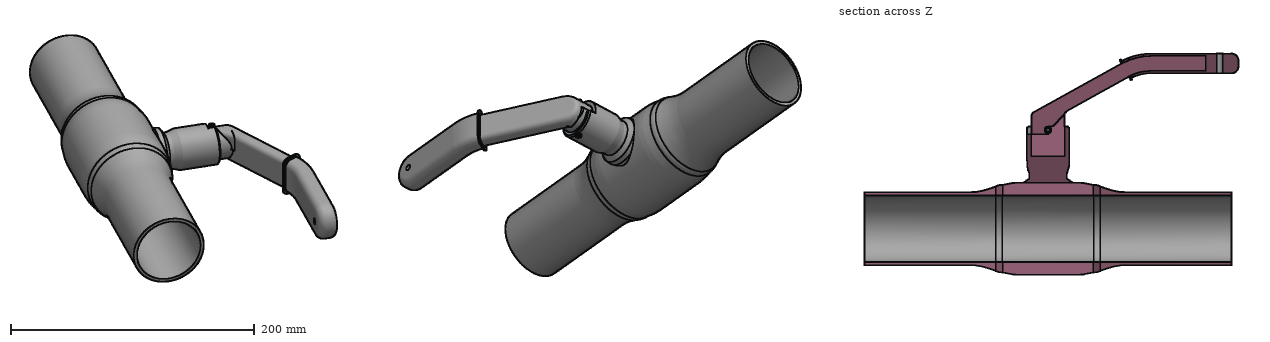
import cadquery as cq
import math


half_length = 151.0
pipe_radius = 30.15
bore_radius = 27.25
taper_start_x = 64.3
taper_end_x = 47.8
taper_end_radius = 33.2
bead_outer_x = 43.1
bead_outer_radius = 34.8
bead_inner_x = 37.6
bead_inner_radius = 36.1
bead_crown = 0.5
shoulder_x = 30.2
shoulder_radius = 37.55
barrel_half_length = 24.6
barrel_radius = 38.05

weld_toe_y = 30.0
weld_toe_radius = 22.6
weld_foot_y = 33.4
weld_foot_radius = 20.7
weld_edge_y = 38.1
weld_edge_radius = 20.0
weld_top_y = 41.4
neck_radius = 15.5
head_taper_y = 45.1
head_y = 51.7
head_radius = 17.5
head_top_y = 84.3
head_chamfer = 1.3
notch_floor_y = 77.8
notch_margin = 2.6
socket_floor_y = 60.0

hub_radius = 13.7
stem_top_y = 90.0
pin_y = 81.4
pin_radius = 2.5
pin_bore_radius = 1.3
pin_half_length = 18.4

lever_angle = 29.0
bar_thickness = 12.7
bar_width = 2 * hub_radius
bar_rounding = 4.3
bend_radius = 44.0
bend_end_x = 84.8
level_y = 136.05
bar_end_x = 130.0

gusset_foot_x = 3.8
gusset_foot_y = 84.5
gusset_end_x = 15.5
gusset_angle = 46.0
gusset_rounding = 3.5

grip_thickness = 16.5
grip_width = 31.0
grip_rounding = 6.0
grip_end_x = 153.89 * 2 - half_length
lip_length = 1.2
lip_margin = 1.3
lip_rounding = 5.2
mouth_gap = 1.2
mouth_depth = 1.5
hang_hole_radius = 2.4

bend_center_y = level_y - bend_radius
grip_end_center_x = grip_end_x - grip_width / 2
slant = math.radians(lever_angle)
along = cq.Vector(math.cos(slant), math.sin(slant), 0)
across = cq.Vector(-math.sin(slant), math.cos(slant), 0)
bend_start = cq.Vector(bend_end_x, bend_center_y, 0) + across * bend_radius


def y_cylinder(radius, low_y, high_y):
    """Cylinder on the stem axis between two heights."""
    return cq.Workplane("XZ", origin=(0, low_y, 0)).circle(radius).extrude(low_y - high_y)


def z_cylinder(radius, half_height):
    """Cylinder on the pin axis, centred on Z = 0."""
    return cq.Workplane("XY", origin=(0, pin_y, 0)).circle(radius).extrude(half_height, both=True)


def box_between(low, high):
    """Box given by two opposite corners."""
    size = [b - a for a, b in zip(low, high)]
    return cq.Workplane("XY").box(*size, centered=False).translate(low)


def rounded_section(plane, thickness, width, rounding):
    """Rounded rectangle; the plane's x axis runs through the thickness."""
    outline = cq.Sketch().rect(thickness, width).vertices().fillet(rounding)
    return cq.Workplane(plane).placeSketch(outline)


def level_section(x, thickness, width, rounding):
    """Section of the level part of the lever at a given X."""
    plane = cq.Plane(origin=(x, level_y, 0), xDir=(0, 1, 0), normal=(1, 0, 0))
    return rounded_section(plane, thickness, width, rounding)


def bend_and_level(thickness, width, rounding, end_x):
    """The bend and the level run after it, up to end_x."""
    bend = level_section(bend_end_x, thickness, width, rounding).revolve(
        lever_angle, (-bend_radius, 0, 0), (-bend_radius, 1, 0)
    )
    level = level_section(bend_end_x, thickness, width, rounding).extrude(end_x - bend_end_x)
    return bend.union(level)


def make_housing():
    """Centre barrel between the two weld beads."""
    outline = (
        cq.Workplane("XY")
        .moveTo(-bead_inner_x, bore_radius)
        .lineTo(-bead_inner_x, bead_inner_radius)
        .lineTo(-shoulder_x, shoulder_radius)
    )
    middle_x = (shoulder_x + barrel_half_length) / 2
    middle_radius = barrel_radius - (barrel_radius - shoulder_radius) / 4
    outline = (
        outline.threePointArc((-middle_x, middle_radius), (-barrel_half_length, barrel_radius))
        .lineTo(barrel_half_length, barrel_radius)
        .threePointArc((middle_x, middle_radius), (shoulder_x, shoulder_radius))
        .lineTo(bead_inner_x, bead_inner_radius)
        .lineTo(bead_inner_x, bore_radius)
        .close()
    )
    return outline.revolve(360, (0, 0, 0), (1, 0, 0))


def make_bead(side):
    """Weld bead with a slightly crowned surface."""
    crown = (
        side * (bead_inner_x + bead_outer_x) / 2,
        (bead_inner_radius + bead_outer_radius) / 2 + bead_crown,
    )
    return (
        cq.Workplane("XY")
        .moveTo(side * bead_inner_x, bore_radius)
        .lineTo(side * bead_inner_x, bead_inner_radius)
        .threePointArc(crown, (side * bead_outer_x, bead_outer_radius))
        .lineTo(side * bead_outer_x, bore_radius)
        .close()
        .revolve(360, (0, 0, 0), (1, 0, 0))
    )


def make_pipe(side):
    """Pipe whose inner end widens to meet the bead."""
    return (
        cq.Workplane("XY")
        .moveTo(side * half_length, bore_radius)
        .lineTo(side * half_length, pipe_radius)
        .lineTo(side * taper_start_x, pipe_radius)
        .tangentArcPoint((side * taper_end_x, taper_end_radius), relative=False)
        .lineTo(side * bead_outer_x, bead_outer_radius)
        .lineTo(side * bead_outer_x, bore_radius)
        .close()
        .revolve(360, (0, 0, 0), (1, 0, 0))
    )


def above_bar(offset):
    """Space around the stem axis above a plane parallel to the slanted bar's middle plane."""
    origin = bend_start + across * offset
    plane = cq.Plane(origin=origin.toTuple(), xDir=along, normal=across)
    return cq.Workplane(plane).rect(2 * level_y, level_y).extrude(level_y)


def make_slanted_bar():
    """Slanted bar from the plane of the stem axis to the start of the bend."""
    plane = cq.Plane(origin=bend_start.toTuple(), xDir=across, normal=along)
    length = bend_start.x / math.cos(slant) + bar_thickness
    bar = rounded_section(plane, bar_thickness, bar_width, bar_rounding).extrude(-length)
    return bar.intersect(box_between((0, 0, -hub_radius), (bend_end_x, level_y, hub_radius)))


def make_hub():
    """Half-round hub at the bar's lower end, its top edge rounded like the bar."""
    straight = box_between((0, stem_top_y, -hub_radius), (bar_width, level_y, hub_radius))
    column = y_cylinder(hub_radius, stem_top_y, level_y).union(straight)
    column = column.cut(above_bar(bar_thickness / 2))
    top = column.faces(cq.DirectionMinMaxSelector(across, True))
    column = top.edges().fillet(bar_rounding)
    return column.intersect(box_between((-hub_radius, 0, -hub_radius), (0, level_y, hub_radius)))


def make_tongue():
    """Quarter of the hub that reaches down into the neck's notch."""
    quarter = box_between((-hub_radius, 0, 0), (0, level_y, hub_radius))
    return y_cylinder(hub_radius, notch_floor_y, stem_top_y).intersect(quarter)


def make_gusset():
    """Sloped web under the bar beside the tongue, with a rounded lower edge."""
    rise = (gusset_end_x - gusset_foot_x) * math.tan(math.radians(gusset_angle))
    gusset = (
        cq.Workplane("XY")
        .moveTo(0, gusset_foot_y)
        .lineTo(gusset_foot_x, gusset_foot_y)
        .lineTo(gusset_end_x, gusset_foot_y + rise)
        .lineTo(0, gusset_foot_y + rise)
        .close()
        .extrude(hub_radius)
    )
    slope_edge = gusset.faces(">Z").edges(">X")
    return slope_edge.fillet(gusset_rounding)


def make_handle():
    """Lever with its hub, bored for the pin."""
    upper = bend_and_level(bar_thickness, bar_width, bar_rounding, bar_end_x)
    handle = make_slanted_bar().union(upper)
    for part in (make_hub(), make_tongue(), make_gusset()):
        handle = handle.union(part)
    return handle.cut(z_cylinder(pin_radius, pin_half_length))


def make_grip(handle):
    """Sleeve over the upper end of the lever, with a lip, a widened mouth, a round end and a hanging hole."""
    sleeve = bend_and_level(grip_thickness, grip_width, grip_rounding, grip_end_center_x)
    round_end = (
        cq.Workplane("XZ", origin=(grip_end_center_x, level_y, 0))
        .circle(grip_width / 2)
        .extrude(grip_thickness / 2, both=True)
        .edges()
        .fillet(grip_rounding)
    )
    lip_plane = cq.Plane(origin=bend_start.toTuple(), xDir=across, normal=along)
    lip = rounded_section(
        lip_plane,
        grip_thickness + 2 * lip_margin,
        grip_width + 2 * lip_margin,
        lip_rounding,
    ).extrude(lip_length)
    mouth = rounded_section(
        lip_plane,
        bar_thickness + 2 * mouth_gap,
        bar_width + 2 * mouth_gap,
        bar_rounding + mouth_gap,
    ).extrude(mouth_depth)
    hang_hole = (
        cq.Workplane("XZ", origin=(grip_end_center_x, level_y, 0))
        .circle(hang_hole_radius)
        .extrude(grip_thickness, both=True)
    )
    return sleeve.union(round_end).union(lip).cut(mouth).cut(hang_hole).cut(handle)


def make_stem(handle):
    """Round stem from the neck socket up to the lever, which it fits."""
    low = y_cylinder(hub_radius, socket_floor_y, stem_top_y)
    high = y_cylinder(hub_radius, stem_top_y, level_y).intersect(
        box_between((0, 0, -hub_radius), (hub_radius, level_y, hub_radius))
    )
    return low.union(high).cut(above_bar(0)).cut(handle).cut(z_cylinder(pin_radius, pin_half_length))


def make_neck():
    """Turned neck welded to the barrel, with a stem socket and a notch that limits the lever."""
    turned = (
        cq.Workplane("XY")
        .moveTo(0, 0)
        .lineTo(weld_toe_radius, 0)
        .lineTo(weld_toe_radius, weld_toe_y)
        .lineTo(weld_foot_radius, weld_foot_y)
        .lineTo(weld_edge_radius, weld_edge_y)
        .lineTo(neck_radius, weld_top_y)
        .lineTo(neck_radius, head_taper_y)
        .lineTo(head_radius, head_y)
        .lineTo(head_radius, head_top_y - head_chamfer)
        .lineTo(head_radius - head_chamfer, head_top_y)
        .lineTo(0, head_top_y)
        .close()
        .revolve(360, (0, 0, 0), (0, 1, 0))
    )
    run = cq.Workplane("YZ").circle(barrel_radius).extrude(half_length, both=True)
    notch = box_between(
        (-2 * head_radius, notch_floor_y, -notch_margin),
        (notch_margin, 2 * head_top_y, 2 * head_radius),
    )
    socket = y_cylinder(hub_radius, socket_floor_y, 2 * head_top_y)
    return turned.cut(run).cut(notch).cut(socket).cut(z_cylinder(pin_radius, pin_half_length))


def make_pin():
    """Hollow spring pin across the stem."""
    return z_cylinder(pin_radius, pin_half_length).cut(z_cylinder(pin_bore_radius, pin_half_length))


housing = make_housing()
beads = [make_bead(side) for side in (-1, 1)]
pipes = [make_pipe(side) for side in (-1, 1)]
neck = make_neck()
handle = make_handle()
stem = make_stem(handle)
grip = make_grip(handle)
pin = make_pin()

result = cq.Compound.makeCompound(
    [
        housing.val(),
        *[bead.val() for bead in beads],
        *[pipe.val() for pipe in pipes],
        neck.val(),
        stem.val(),
        handle.val(),
        grip.val(),
        pin.val(),
    ]
)